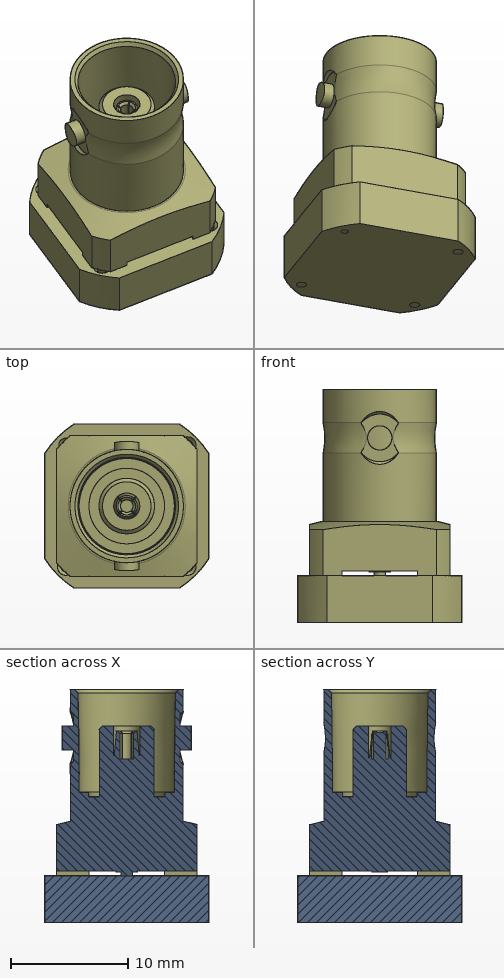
import cadquery as cq

BASE_WIDTH = 14.0
BASE_HEIGHT = 4.02
BASE_CORNER_RADIUS = 8.32
HOLE_OFFSET = 5.17
HOLE_RADIUS = 0.44
KEY_HOLE_RADIUS = 0.32
SINK_DEPTH = 0.3
CORNER_HOLES = [
    (HOLE_OFFSET, HOLE_OFFSET, HOLE_RADIUS),
    (HOLE_OFFSET, -HOLE_OFFSET, HOLE_RADIUS),
    (-HOLE_OFFSET, -HOLE_OFFSET, HOLE_RADIUS),
    (-HOLE_OFFSET, HOLE_OFFSET, KEY_HOLE_RADIUS),
]

TOTAL_HEIGHT = 19.9
FLANGE_WIDTH = 12.0
FLANGE_CORNER_RADIUS = 7.7
FLANGE_TOP = 8.64
CONE_TOP_RADIUS = 5.0
CONE_EDGE = 7.95
SLOT_WIDTH = 6.4
SLOT_TOP = 4.4

PIN_RADIUS = 0.5
COLLAR_RADIUS = 0.92
COLLAR_HEIGHT = 0.08

BARREL_RADIUS = 4.84
LUG_HEIGHT = 15.76
GROOVE_HALF_HEIGHT = 1.3
GROOVE_DEPTH = 0.14

LUG_RADIUS = 1.03
LUG_REACH = 5.51
SPOT_DISTANCE = 4.55
SPOT_RADIUS = 2.03
SPOT_LENGTH = 1.0
SPOT_FLARE = 0.8

BORE_MOUTH_RADIUS = 4.42
BORE_TOP_RADIUS = 4.15
BORE_FLOOR_RADIUS = 4.05
BORE_CHAMFER_HEIGHT = 0.32
BORE_FLOOR = 11.15
RECESS_RADIUS = 3.22
RECESS_DEPTH = 0.4

POST_TOP = 16.8
POST_RADIUS = 2.37
POST_CHAMFER = 0.3
SOCKET_RADIUS = 1.11
CONTACT_TIP_RADIUS = 0.9
CONTACT_MOUTH_RADIUS = 0.75
CONTACT_BORE_RADIUS = 0.54
CONTACT_TOP = 16.35
CONTACT_SLOT_WIDTH = 0.1
CONTACT_FINGER_LENGTH = 2.39


def cylinder(radius, bottom, top):
    """Cylinder on the part axis between two heights."""
    return cq.Workplane("XY").workplane(offset=bottom).circle(radius).extrude(top - bottom)


def square_with_turned_corners(width, corner_radius, bottom, top):
    """Square block whose corners are cut by a cylinder on the part axis."""
    block = cq.Workplane("XY").workplane(offset=bottom).rect(width, width).extrude(top - bottom)
    return block.intersect(cylinder(corner_radius, bottom, top))


def revolve_profile(points):
    """Turn a closed (radius, height) outline about the part axis."""
    return cq.Workplane("XZ").polyline(points).close().revolve(360, (0, 0, 0), (0, 1, 0))


def make_corner_hole(radius):
    """Cutter on the part axis for one countersunk through hole."""
    return revolve_profile([
        (0, 0),
        (radius, 0),
        (radius, BASE_HEIGHT - SINK_DEPTH),
        (radius + SINK_DEPTH, BASE_HEIGHT),
        (0, BASE_HEIGHT),
    ])


def make_base():
    """Base block with four countersunk corner holes."""
    block = square_with_turned_corners(BASE_WIDTH, BASE_CORNER_RADIUS, 0, BASE_HEIGHT)
    for x, y, radius in CORNER_HOLES:
        block = block.cut(make_corner_hole(radius).translate((x, y, 0)))
    return block


def make_flange():
    """Square flange with a conical top and four feet."""
    flange = square_with_turned_corners(FLANGE_WIDTH, FLANGE_CORNER_RADIUS, BASE_HEIGHT, FLANGE_TOP)
    cone_cap = revolve_profile([
        (0, BASE_HEIGHT),
        (FLANGE_CORNER_RADIUS, BASE_HEIGHT),
        (FLANGE_CORNER_RADIUS, CONE_EDGE),
        (CONE_TOP_RADIUS, FLANGE_TOP),
        (0, FLANGE_TOP),
    ])
    flange = flange.intersect(cone_cap)
    slot_height = SLOT_TOP - BASE_HEIGHT
    slots = cq.Workplane("XY").workplane(offset=BASE_HEIGHT)
    slot_x = slots.rect(FLANGE_WIDTH, SLOT_WIDTH).extrude(slot_height)
    slot_y = slots.rect(SLOT_WIDTH, FLANGE_WIDTH).extrude(slot_height)
    return flange.cut(slot_x).cut(slot_y)


def make_barrel():
    """Barrel with a shallow round groove at lug height."""
    groove_bottom = LUG_HEIGHT - GROOVE_HALF_HEIGHT
    groove_top = LUG_HEIGHT + GROOVE_HALF_HEIGHT
    profile = (
        cq.Workplane("XZ")
        .moveTo(0, SLOT_TOP)
        .lineTo(BARREL_RADIUS, SLOT_TOP)
        .lineTo(BARREL_RADIUS, groove_bottom)
        .threePointArc((BARREL_RADIUS - GROOVE_DEPTH, LUG_HEIGHT), (BARREL_RADIUS, groove_top))
        .lineTo(BARREL_RADIUS, TOTAL_HEIGHT)
        .lineTo(0, TOTAL_HEIGHT)
        .close()
    )
    return profile.revolve(360, (0, 0, 0), (0, 1, 0))


def make_spot_face_cutters():
    """Flared cutters for the flats around the two lugs."""
    cutter = cq.Solid.makeCone(
        SPOT_RADIUS,
        SPOT_RADIUS + SPOT_FLARE * SPOT_LENGTH,
        SPOT_LENGTH,
        cq.Vector(0, SPOT_DISTANCE, LUG_HEIGHT),
        cq.Vector(0, 1, 0),
    )
    one_side = cq.Workplane(cutter)
    return one_side.union(one_side.mirror("XZ"))


def make_lugs():
    """Cross pin through the barrel, with ends rounded about the part axis."""
    rod = (
        cq.Workplane("XZ", origin=(0, 0, LUG_HEIGHT))
        .circle(LUG_RADIUS)
        .extrude(LUG_REACH, both=True)
    )
    return rod.intersect(cylinder(LUG_REACH, LUG_HEIGHT - LUG_RADIUS, LUG_HEIGHT + LUG_RADIUS))


def make_bore():
    """Tapered bore with a chamfered mouth and a recessed floor."""
    return revolve_profile([
        (0, BORE_FLOOR - RECESS_DEPTH),
        (RECESS_RADIUS, BORE_FLOOR - RECESS_DEPTH),
        (RECESS_RADIUS, BORE_FLOOR),
        (BORE_FLOOR_RADIUS, BORE_FLOOR),
        (BORE_TOP_RADIUS, TOTAL_HEIGHT - BORE_CHAMFER_HEIGHT),
        (BORE_MOUTH_RADIUS, TOTAL_HEIGHT),
        (0, TOTAL_HEIGHT),
    ])


def make_post():
    """Centre post holding a hollow contact split into four fingers."""
    finger_root = CONTACT_TOP - CONTACT_FINGER_LENGTH
    mouth_bottom = CONTACT_TOP - (CONTACT_MOUTH_RADIUS - CONTACT_BORE_RADIUS)
    post = revolve_profile([
        (0, BORE_FLOOR - RECESS_DEPTH),
        (POST_RADIUS, BORE_FLOOR - RECESS_DEPTH),
        (POST_RADIUS, POST_TOP - POST_CHAMFER),
        (POST_RADIUS - POST_CHAMFER, POST_TOP),
        (SOCKET_RADIUS, POST_TOP),
        (SOCKET_RADIUS, finger_root),
        (CONTACT_TIP_RADIUS, CONTACT_TOP),
        (CONTACT_MOUTH_RADIUS, CONTACT_TOP),
        (CONTACT_BORE_RADIUS, mouth_bottom),
        (CONTACT_BORE_RADIUS, finger_root),
        (0, finger_root),
    ])
    socket = cylinder(SOCKET_RADIUS, finger_root, CONTACT_TOP)
    for angle in (45, 135):
        slot = (
            cq.Workplane("XY")
            .workplane(offset=finger_root)
            .rect(2 * SOCKET_RADIUS, CONTACT_SLOT_WIDTH)
            .extrude(CONTACT_FINGER_LENGTH)
            .rotate((0, 0, 0), (0, 0, 1), angle)
        )
        post = post.cut(slot.intersect(socket))
    return post


def make_solder_pin():
    """Pin and its collar under the flange, standing on the base."""
    pin = cylinder(PIN_RADIUS, BASE_HEIGHT, SLOT_TOP)
    return pin.union(cylinder(COLLAR_RADIUS, SLOT_TOP - COLLAR_HEIGHT, SLOT_TOP))


def add_pegs(shell):
    """Add a peg under each foot, filling the straight part of its base hole."""
    for x, y, radius in CORNER_HOLES:
        shell = shell.union(cylinder(radius, 0, BASE_HEIGHT).translate((x, y, 0)))
    return shell


def make_connector():
    """One-piece connector: flange, barrel, lugs, centre post, solder pin and pegs."""
    shell = make_flange().union(make_barrel())
    shell = shell.cut(make_spot_face_cutters())
    shell = shell.union(make_lugs())
    shell = shell.cut(make_bore())
    shell = shell.union(make_post()).union(make_solder_pin())
    return add_pegs(shell)


base = make_base()
connector = make_connector()

result = cq.Compound.makeCompound([base.val(), connector.val()])